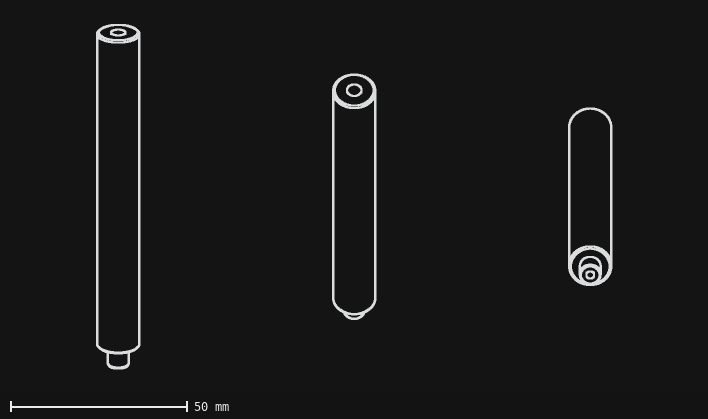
import math

import cadquery as cq

total_length = 103
body_diameter = 12.0
body_chamfer = 0.5
stud_diameter = 6.0
stud_length = 6.0
stud_chamfer_height = 0.5
stud_chamfer_width = 0.3
socket_diameter = 4.1
socket_depth = 10.0
socket_point_angle = 118
bore_diameter = 2.3

body_radius = body_diameter / 2
stud_radius = stud_diameter / 2
socket_radius = socket_diameter / 2
bore_radius = bore_diameter / 2
socket_bottom = total_length - socket_depth
cone_height = (socket_radius - bore_radius) / math.tan(math.radians(socket_point_angle / 2))

half_section = (
    cq.Workplane("XZ")
    .moveTo(bore_radius, 0)
    .lineTo(bore_radius, socket_bottom - cone_height)
    .lineTo(socket_radius, socket_bottom)
    .lineTo(socket_radius, total_length)
    .lineTo(body_radius - body_chamfer, total_length)
    .lineTo(body_radius, total_length - body_chamfer)
    .lineTo(body_radius, stud_length + body_chamfer)
    .lineTo(body_radius - body_chamfer, stud_length)
    .lineTo(stud_radius, stud_length)
    .lineTo(stud_radius, stud_chamfer_height)
    .lineTo(stud_radius - stud_chamfer_width, 0)
    .close()
)

result = half_section.revolve(360, (0, 0, 0), (0, 1, 0))